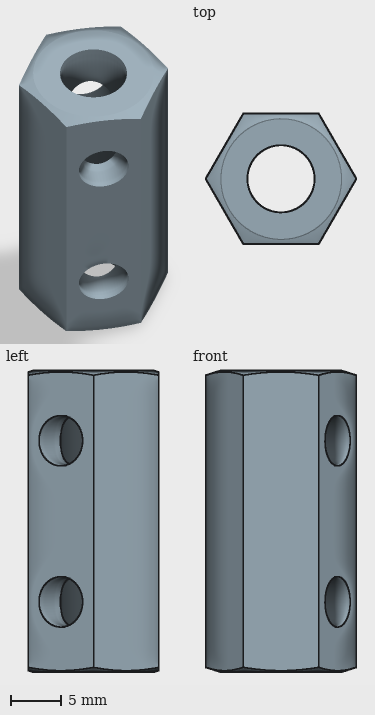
import cadquery as cq
import math

length = 30.0
across_corners = 15.0
bore_diameter = 6.65

end_face_diameter = 12.0
chamfer_drop = 0.48

cross_hole_diameter = 5.0
cross_hole_end_distance = 7.0
cross_hole_angle = -30.0


def hexagon_body():
    return cq.Workplane("XY").polygon(6, across_corners).extrude(length)


def chamfer_envelope():
    """Solid of revolution that leaves both hexagon ends chamfered."""
    corner_radius = across_corners / 2
    face_radius = end_face_diameter / 2
    return (
        cq.Workplane("XZ")
        .moveTo(0, 0)
        .lineTo(face_radius, 0)
        .lineTo(corner_radius, chamfer_drop)
        .lineTo(corner_radius, length - chamfer_drop)
        .lineTo(face_radius, length)
        .lineTo(0, length)
        .close()
        .revolve(360, (0, 0), (0, 1))
    )


def bore():
    return cq.Workplane("XY").circle(bore_diameter / 2).extrude(length)


def cross_hole(height):
    """Cylinder through the whole body at the given height."""
    angle = math.radians(cross_hole_angle)
    hole_plane = cq.Plane(
        origin=(0, 0, height),
        xDir=(0, 0, 1),
        normal=(math.cos(angle), math.sin(angle), 0),
    )
    return cq.Workplane(hole_plane).circle(cross_hole_diameter / 2).extrude(across_corners, both=True)


result = hexagon_body().intersect(chamfer_envelope()).cut(bore())
for hole_height in (cross_hole_end_distance, length - cross_hole_end_distance):
    result = result.cut(cross_hole(hole_height))